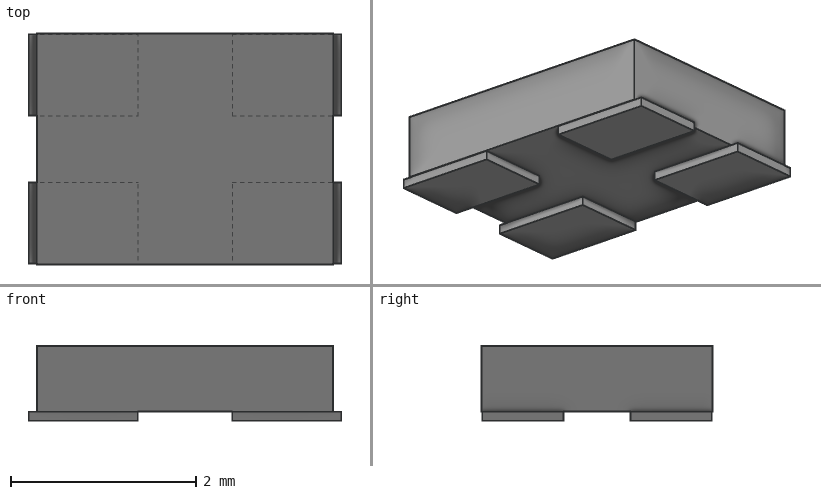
import cadquery as cq

body_length = 3.2
body_width = 2.5
body_height = 0.71

pad_length = 1.18
pad_width = 0.88
pad_thickness = 0.1
pad_overhang = 0.09
pad_setback = 0.01

pad_center_x = body_length / 2 + pad_overhang - pad_length / 2
pad_center_y = body_width / 2 - pad_setback - pad_width / 2


def make_body():
    """Plain block resting on top of the pads, centred on the Z axis."""
    return (
        cq.Workplane("XY")
        .workplane(offset=pad_thickness)
        .rect(body_length, body_width)
        .extrude(body_height)
    )


def make_pad(side_x, side_y):
    """Flat pad in the corner given by the signs side_x and side_y."""
    return (
        cq.Workplane("XY")
        .center(side_x * pad_center_x, side_y * pad_center_y)
        .rect(pad_length, pad_width)
        .extrude(pad_thickness)
    )


body = make_body()
pads = [make_pad(side_x, side_y) for side_x in (-1, 1) for side_y in (-1, 1)]

result = cq.Compound.makeCompound([body.val(), *[pad.val() for pad in pads]])